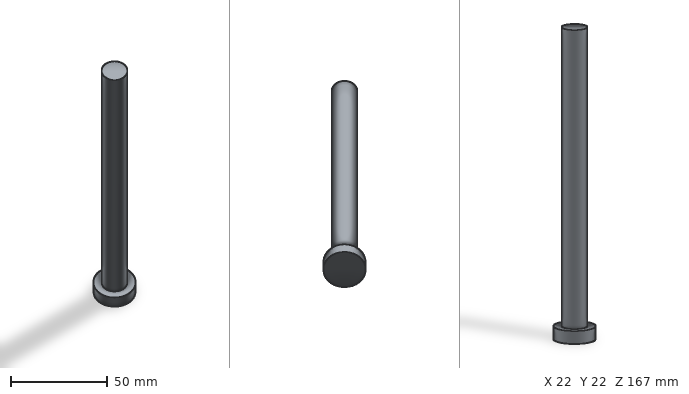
import cadquery as cq

head_diameter = 22.0
head_height = 7.0
shank_diameter = 13.5
shank_length = 160.0


def make_head():
    """Flat disc with its underside on Z = 0."""
    return cq.Workplane("XY").circle(head_diameter / 2).extrude(head_height)


def add_shank(body):
    """Round shank rising from the centre of the head."""
    return body.faces(">Z").workplane().circle(shank_diameter / 2).extrude(shank_length)


result = add_shank(make_head())